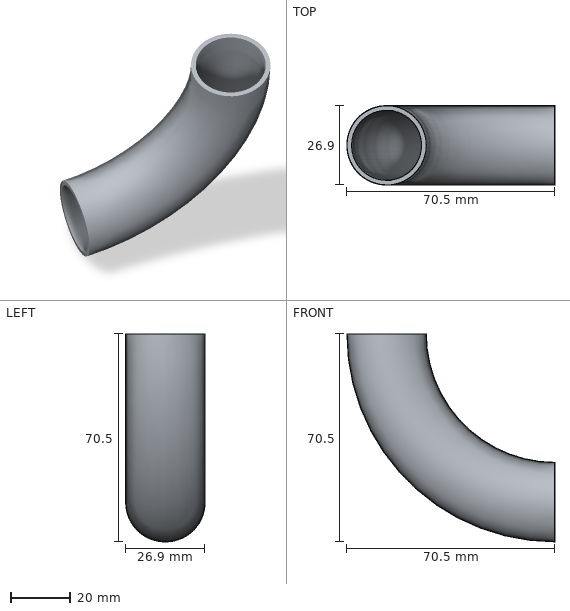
import cadquery as cq

overall_length = 70.45
outer_diameter = 26.9
wall_thickness = 1.6
bend_angle = 90.0

outer_radius = outer_diameter / 2
inner_radius = outer_radius - wall_thickness
bend_radius = overall_length - outer_radius

result = (
    cq.Workplane("XY")
    .center(-bend_radius, 0)
    .circle(outer_radius)
    .circle(inner_radius)
    .revolve(bend_angle, (bend_radius, 0), (bend_radius, -1))
)